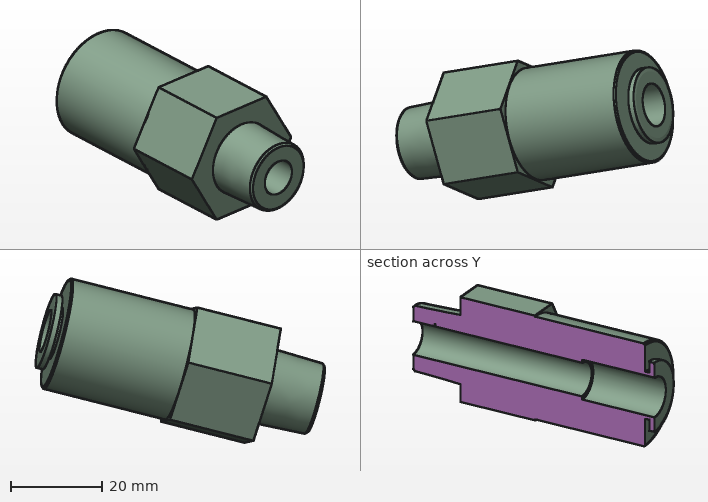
import cadquery as cq
import math

total_length = 61.7
ring_rear = 1.5
body_front = 2.4
hex_front = 30.55
hex_rear = 49.6

ring_diameter = 16.8
ring_face_diameter = 14.8
ring_face_rise = 0.1
neck_diameter = 11.55

body_diameter = 25.0
body_chamfer = 0.4
hex_across_flats = 25.4

spigot_root_diameter = 16.9
spigot_taper = 0.08
spigot_chamfer = 0.5

tube_diameter = 9.5
tube_depth = 18.5
bore_diameter = 8.0


def make_sleeve():
    """Release ring, neck and body as one profile turned about X."""
    ring_radius = ring_diameter / 2
    neck_radius = neck_diameter / 2
    body_radius = body_diameter / 2
    return (
        cq.Workplane("XY")
        .moveTo(0, 0)
        .lineTo(0, ring_face_diameter / 2)
        .lineTo(ring_face_rise, ring_radius)
        .lineTo(ring_rear, ring_radius)
        .lineTo(ring_rear, neck_radius)
        .lineTo(body_front, neck_radius)
        .lineTo(body_front, body_radius - body_chamfer)
        .lineTo(body_front + body_chamfer, body_radius)
        .lineTo(hex_front, body_radius)
        .lineTo(hex_front, 0)
        .close()
        .revolve(360, (0, 0, 0), (1, 0, 0))
    )


def make_hexagon():
    """Wrench hexagon with flats facing +Z and -Z and corners on Y."""
    across_corners = hex_across_flats / math.cos(math.pi / 6)
    return (
        cq.Workplane("YZ", origin=(hex_front, 0, 0))
        .polygon(6, across_corners)
        .extrude(hex_rear - hex_front)
    )


def make_spigot():
    """Tapered male end with a chamfered tip."""
    root_radius = spigot_root_diameter / 2
    chamfer_start = total_length - spigot_chamfer
    tip_radius = root_radius - spigot_taper * (chamfer_start - hex_rear) / 2
    return (
        cq.Workplane("XY")
        .moveTo(hex_rear, 0)
        .lineTo(hex_rear, root_radius)
        .lineTo(chamfer_start, tip_radius)
        .lineTo(total_length, tip_radius - spigot_chamfer)
        .lineTo(total_length, 0)
        .close()
        .revolve(360, (0, 0, 0), (1, 0, 0))
    )


def make_bore():
    """Through bore with a wider tube socket at the ring end."""
    passage = cq.Workplane("YZ").circle(bore_diameter / 2).extrude(total_length)
    socket = cq.Workplane("YZ").circle(tube_diameter / 2).extrude(tube_depth)
    return passage.union(socket)


result = make_sleeve().union(make_hexagon()).union(make_spigot()).cut(make_bore())